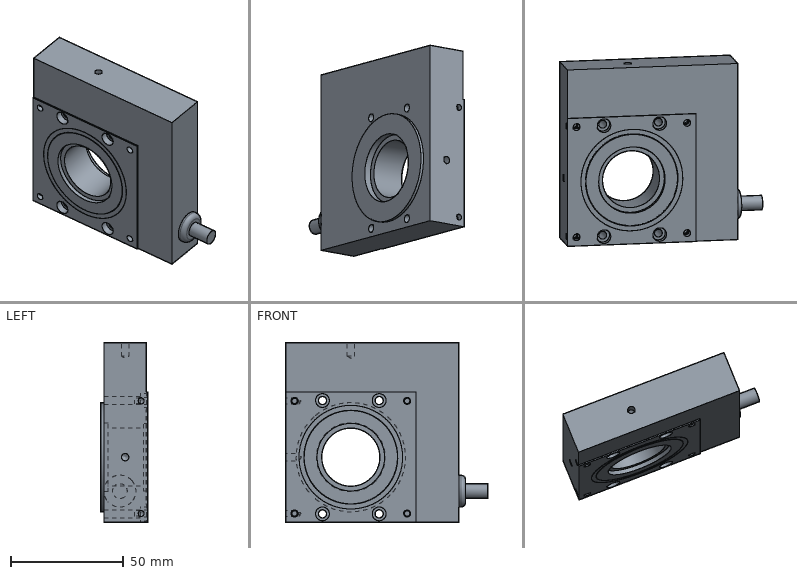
import cadquery as cq
import math

BODY_WIDTH = 77.0
BODY_HEIGHT = 80.0
BODY_DEPTH = 18.9
OVERALL_LENGTH = 90.0

PLATE_SIDE = 58.05
PLATE_THICKNESS = 0.6
PLATE_FACE = -PLATE_THICKNESS

CENTRE = PLATE_SIDE / 2
FLANGE_DIAMETER = 48.6
FLANGE_THICKNESS = 1.4
BORE_DIAMETER = 25.7
RECESS_DIAMETER = 30.1
REAR_RECESS_DIAMETER = 30.6
RECESS_DEPTH = 2.0
REAR_RECESS_DEPTH = 3.2
BEARING_RING_DIAMETER = 46.1
BEARING_RING_DEPTH = 0.1
GAP_DIAMETER = 41.8
GAP_WIDTH = 0.135
GAP_DEPTH = 0.9

MOUNT_OFFSET_Z = 25.2
MOUNT_OFFSET_X = MOUNT_OFFSET_Z / 2
MOUNT_DIAMETER = 3.5
MOUNT_HEAD_DIAMETER = 6.1
MOUNT_HEAD_DEPTH = 3.2

CORNER_OFFSET = 25.0
CORNER_DIAMETER = 3.1
CORNER_CORE_DIAMETER = 2.4
CORNER_DEPTH = 4.0
CORNER_CORE_DEPTH = 6.0

DRILL_POINT_ANGLE = 118.0
CENTRE_DRILL_DIAMETER = 3.2
SIDE_DRILL_DIAMETER = 2.6
DRILL_DEPTH = 6.0
SIDE_DRILL_INSET = 3.0

GLAND_DIAMETER = 14.2
GLAND_LENGTH = 3.1
GLAND_FILLET = 2.2
CABLE_DIAMETER = 6.6
CABLE_HEIGHT = 13.95


def cylinder_y(x, z, diameter, y_start, y_end):
    """Cylinder along Y between two depths."""
    start = cq.Vector(x, y_start, z)
    axis = cq.Vector(0, 1, 0)
    return cq.Workplane(cq.Solid.makeCylinder(diameter / 2, y_end - y_start, start, axis))


def drill(diameter, depth, entry, direction):
    """Blind drilled hole with a conical point."""
    radius = diameter / 2
    start = cq.Vector(*entry)
    axis = cq.Vector(*direction)
    point_length = radius / math.tan(math.radians(DRILL_POINT_ANGLE / 2))
    shank = cq.Solid.makeCylinder(radius, depth, start, axis)
    point = cq.Solid.makeCone(radius, 0, point_length, start + axis * depth, axis)
    return cq.Workplane(shank).union(cq.Workplane(point))


def make_housing():
    block = cq.Workplane().box(BODY_WIDTH, BODY_DEPTH, BODY_HEIGHT, centered=False)
    plate = (
        cq.Workplane()
        .box(PLATE_SIDE, PLATE_THICKNESS, PLATE_SIDE, centered=False)
        .translate((0, PLATE_FACE, 0))
    )
    flange = cylinder_y(CENTRE, CENTRE, FLANGE_DIAMETER, BODY_DEPTH, BODY_DEPTH + FLANGE_THICKNESS)
    return block.union(plate).union(flange)


def make_cable_exit():
    axis_y = BODY_DEPTH - GLAND_DIAMETER / 2
    side = cq.Workplane("YZ", origin=(BODY_WIDTH, axis_y, CABLE_HEIGHT))
    gland = side.circle(GLAND_DIAMETER / 2).extrude(GLAND_LENGTH).faces(">X").edges().fillet(GLAND_FILLET)
    cable = side.circle(CABLE_DIAMETER / 2).extrude(OVERALL_LENGTH - BODY_WIDTH)
    return gland.union(cable)


def front_pocket(x, z, diameter, depth):
    """Cylinder sunk into the plate face."""
    return cylinder_y(x, z, diameter, PLATE_FACE, PLATE_FACE + depth)


def front_groove(outer_diameter, inner_diameter, depth):
    """Ring-shaped groove around the rotor axis, sunk into the plate face."""
    outer = front_pocket(CENTRE, CENTRE, outer_diameter, depth)
    return outer.cut(front_pocket(CENTRE, CENTRE, inner_diameter, depth))


def cut_rotor(part):
    rear = BODY_DEPTH + FLANGE_THICKNESS
    bearing_ring = front_groove(BEARING_RING_DIAMETER, GAP_DIAMETER, BEARING_RING_DEPTH)
    gap = front_groove(GAP_DIAMETER, GAP_DIAMETER - 2 * GAP_WIDTH, GAP_DEPTH)
    bore = cylinder_y(CENTRE, CENTRE, BORE_DIAMETER, PLATE_FACE, rear)
    recess = front_pocket(CENTRE, CENTRE, RECESS_DIAMETER, RECESS_DEPTH)
    rear_recess = cylinder_y(CENTRE, CENTRE, REAR_RECESS_DIAMETER, rear - REAR_RECESS_DEPTH, rear)
    return part.cut(bearing_ring).cut(gap).cut(bore).cut(recess).cut(rear_recess)


def four_positions(offset_x, offset_z):
    """Points placed symmetrically around the rotor axis."""
    return [(CENTRE + sx * offset_x, CENTRE + sz * offset_z) for sx in (-1, 1) for sz in (-1, 1)]


def cut_plate_holes(part):
    for x, z in four_positions(MOUNT_OFFSET_X, MOUNT_OFFSET_Z):
        part = part.cut(cylinder_y(x, z, MOUNT_DIAMETER, PLATE_FACE, BODY_DEPTH))
        part = part.cut(front_pocket(x, z, MOUNT_HEAD_DIAMETER, MOUNT_HEAD_DEPTH))
    for x, z in four_positions(CORNER_OFFSET, CORNER_OFFSET):
        part = part.cut(front_pocket(x, z, CORNER_DIAMETER, CORNER_DEPTH))
        part = part.cut(front_pocket(x, z, CORNER_CORE_DIAMETER, CORNER_CORE_DEPTH))
    return part


def cut_drilled_holes(part):
    mid = BODY_DEPTH / 2
    part = part.cut(drill(CENTRE_DRILL_DIAMETER, DRILL_DEPTH, (CENTRE, mid, BODY_HEIGHT), (0, 0, -1)))
    part = part.cut(drill(CENTRE_DRILL_DIAMETER, DRILL_DEPTH, (0, mid, CENTRE), (1, 0, 0)))
    for sz in (-1, 1):
        entry = (0, PLATE_FACE + SIDE_DRILL_INSET, CENTRE + sz * CORNER_OFFSET)
        part = part.cut(drill(SIDE_DRILL_DIAMETER, DRILL_DEPTH, entry, (1, 0, 0)))
    return part


result = make_housing().union(make_cable_exit())
result = cut_rotor(result)
result = cut_plate_holes(result)
result = cut_drilled_holes(result)